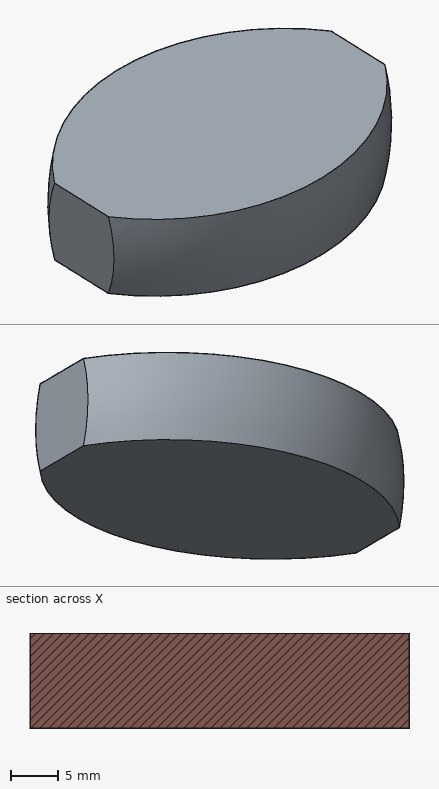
import cadquery as cq

length = 40.0
width = 30.0
thickness = 10.0
end_width = 10.0

bulge = (width - end_width) / 2
sphere_radius = ((length / 2) ** 2 + bulge**2) / (2 * bulge)
sphere_offset = sphere_radius - width / 2


def slab():
    """Flat block that sets the top, bottom and end faces."""
    return cq.Workplane("XY").box(width, length, thickness)


def side_sphere(side):
    """Sphere shifted along X; its far surface bounds one side of the part."""
    return cq.Workplane("XY").sphere(sphere_radius).translate((side * sphere_offset, 0, 0))


result = slab()
for side in (-1, 1):
    result = result.intersect(side_sphere(side))